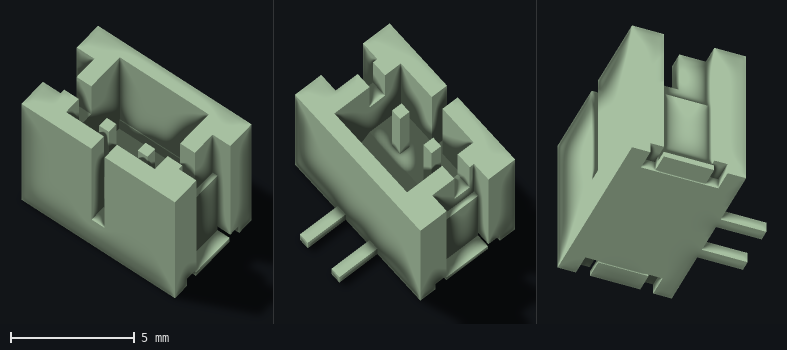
import cadquery as cq

width = 7.95
depth = 5.0
height = 6.6

cavity_width = 4.6
front_wall = 0.8
cavity_back = 4.31
back_ledge = 0.04
floor_front_z = 2.34
floor_back_z = 1.73
slope_front_y = 2.45
slope_back_y = 3.05

key_width = 0.68
key_bottom_z = 1.73
side_slot_front = 1.64
side_slot_back = 2.45
side_slot_bottom_z = 4.68

recess_depth = 0.915
recess_front = 1.41
recess_back = 3.61
clearance_front = 0.8
clearance_back = 4.19
clearance_height = 0.49
clearance_depth = 1.0

tab_thickness = 0.255
tab_height = 4.0
tab_inset = 0.03

pin_size = 0.5
pin_spacing = 2.0
pin_front = side_slot_front
pin_top_z = 5.66
pin_tail = 2.0


def block(x0, x1, y0, y1, z0, z1):
    """Box spanning the given coordinate limits."""
    return cq.Workplane("XY").box(x1 - x0, y1 - y0, z1 - z0, centered=False).translate((x0, y0, z0))


def both_sides(solid):
    """A left-hand solid together with its mirror image on the right."""
    return solid.union(solid.mirror("YZ"))


def cavity():
    """Side profile with a sloped floor and a narrow ledge along the back wall."""
    profile = [
        (front_wall, height),
        (front_wall, floor_front_z),
        (slope_front_y, floor_front_z),
        (slope_back_y, floor_back_z),
        (cavity_back - back_ledge, floor_back_z),
        (cavity_back - back_ledge, floor_front_z),
        (cavity_back, floor_front_z),
        (cavity_back, height),
    ]
    return cq.Workplane("YZ").polyline(profile).close().extrude(cavity_width / 2, both=True)


def housing():
    left = -width / 2
    body = block(left, -left, 0, depth, 0, height).cut(cavity())
    body = body.cut(block(-key_width / 2, key_width / 2, 0, front_wall, key_bottom_z, height))
    body = body.cut(block(left, -left, side_slot_front, side_slot_back, side_slot_bottom_z, height))
    recess = block(left, left + recess_depth, recess_front, recess_back, 0, height)
    clearance_x = left + clearance_depth
    clearance = block(left, clearance_x, clearance_front, clearance_back, 0, clearance_height)
    return body.cut(both_sides(recess.union(clearance)))


def solder_tabs():
    wall_x = -width / 2 + recess_depth
    plate = block(wall_x - tab_thickness, wall_x, recess_front, recess_back, 0, tab_height)
    foot = block(-width / 2 + tab_inset, wall_x, recess_front, recess_back, 0, tab_thickness)
    return both_sides(plate.union(foot))


def contact(x):
    x0 = x - pin_size / 2
    x1 = x + pin_size / 2
    post = block(x0, x1, pin_front, pin_front + pin_size, 0, pin_top_z)
    tail = block(x0, x1, pin_front, depth + pin_tail, 0, pin_size)
    return post.union(tail)


result = housing().union(solder_tabs())
for pin_x in (-pin_spacing / 2, pin_spacing / 2):
    result = result.union(contact(pin_x))